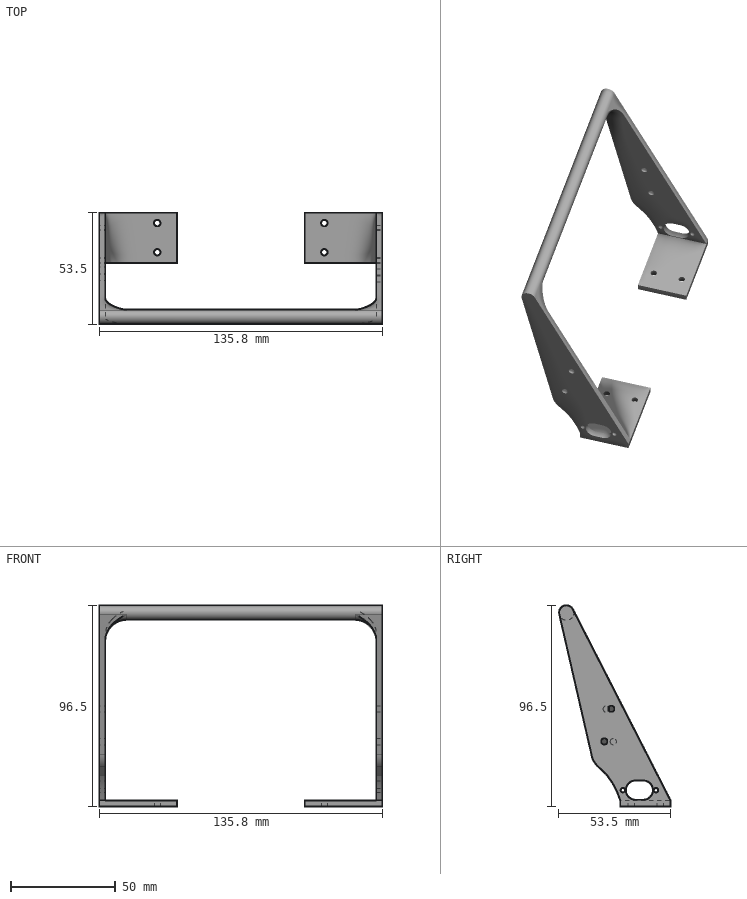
import cadquery as cq
import math

width = 135.8
depth = 53.5
height = 96.5
thickness = 3.0

bar_diameter = 7.0
bar_radius = bar_diameter / 2
bar_y = bar_radius - depth
bar_z = height - bar_radius
flare_radius = 10.0

foot_length = 37.3
foot_depth = 24.2
foot_hole_diameter = 3.0
foot_hole_inset = 27.8
foot_hole_rear = 5.0
foot_hole_spacing = 14.0

rear_corner = (0, thickness)
front_corner = (-foot_depth, thickness)
hollow_middle = (-26.8, 9.2)
hollow_top = (-30.5, 15.1)
knee_bottom = (-35.0, 19.4)
knee_middle = (-37.2, 22.4)
knee_top = (-38.0, 25.1)

slot_length = 12.9
slot_height = 9.1
slot_y = -15.0
slot_z = 7.9
pin_hole_diameter = 2.0
pin_hole_spacing = 15.9
arm_hole_diameter = 3.0
left_low_hole_y = -27.5
left_high_hole_y = -31.0
right_low_hole_y = -31.8
right_high_hole_y = -28.4
arm_hole_low_z = 31.2
arm_hole_high_z = 46.9


def bar_tangent(point, side):
    """Return the (Y, Z) tangent point on the bar for a line from a point."""
    dy = point[0] - bar_y
    dz = point[1] - bar_z
    angle = math.atan2(dz, dy) + side * math.acos(bar_radius / math.hypot(dy, dz))
    return bar_y + bar_radius * math.cos(angle), bar_z + bar_radius * math.sin(angle)


rear_tangent = bar_tangent(rear_corner, 1)
front_tangent = bar_tangent(knee_top, -1)
bar_top = (bar_y, height)


def arm_prism(start_x, length):
    """Extrude the tapered arm outline along X."""
    return (
        cq.Workplane("YZ", origin=(start_x, 0, 0))
        .moveTo(0, 0)
        .lineTo(*rear_corner)
        .lineTo(*rear_tangent)
        .threePointArc(bar_top, front_tangent)
        .lineTo(*knee_top)
        .threePointArc(knee_middle, knee_bottom)
        .lineTo(*hollow_top)
        .threePointArc(hollow_middle, front_corner)
        .lineTo(-foot_depth, 0)
        .close()
        .extrude(length)
    )


def flare(outer_x):
    """Blend the bar into the arm with a concave round about the bar axis, within the arm outline."""
    inner_x = outer_x + thickness
    diagonal = flare_radius * (1 - math.sqrt(0.5))
    ring = (
        cq.Workplane("XZ", origin=(0, bar_y, bar_z))
        .moveTo(outer_x, 0)
        .lineTo(inner_x + flare_radius, 0)
        .lineTo(inner_x + flare_radius, bar_radius)
        .threePointArc((inner_x + diagonal, bar_radius + diagonal), (inner_x, bar_radius + flare_radius))
        .lineTo(outer_x, bar_radius + flare_radius)
        .close()
        .revolve(360, (0, 0, 0), (1, 0, 0))
    )
    return ring.intersect(arm_prism(outer_x, thickness + flare_radius))


def arm_cutters(start_x, hole_points):
    """Make the slot, the pin holes and the two arm holes as solids along X."""
    plane = cq.Workplane("YZ", origin=(start_x, 0, 0))
    slot = plane.center(slot_y, slot_z).slot2D(slot_length, slot_height).extrude(thickness)
    pin_points = [(slot_y + side * pin_hole_spacing / 2, slot_z) for side in (-1, 1)]
    pins = plane.pushPoints(pin_points).circle(pin_hole_diameter / 2).extrude(thickness)
    holes = plane.pushPoints(hole_points).circle(arm_hole_diameter / 2).extrude(thickness)
    return slot.union(pins).union(holes)


def foot(outer_x):
    """Make one foot plate with its two mounting holes."""
    hole_x = outer_x + foot_hole_inset
    hole_points = [(hole_x, -foot_hole_rear), (hole_x, -foot_hole_rear - foot_hole_spacing)]
    plate = cq.Workplane("XY").box(foot_length, foot_depth, thickness, centered=False)
    plate = plate.translate((outer_x, -foot_depth, 0))
    holes = cq.Workplane("XY").pushPoints(hole_points).circle(foot_hole_diameter / 2).extrude(thickness)
    return plate.cut(holes)


left_x = -width / 2
bar = cq.Workplane("YZ", origin=(left_x, 0, 0)).center(bar_y, bar_z).circle(bar_radius).extrude(width)
left_end = arm_prism(left_x, thickness).union(flare(left_x)).union(foot(left_x))
right_end = left_end.mirror("YZ")

left_holes = [(left_low_hole_y, arm_hole_low_z), (left_high_hole_y, arm_hole_high_z)]
right_holes = [(right_low_hole_y, arm_hole_low_z), (right_high_hole_y, arm_hole_high_z)]

result = (
    bar.union(left_end)
    .union(right_end)
    .cut(arm_cutters(left_x, left_holes))
    .cut(arm_cutters(width / 2 - thickness, right_holes))
)